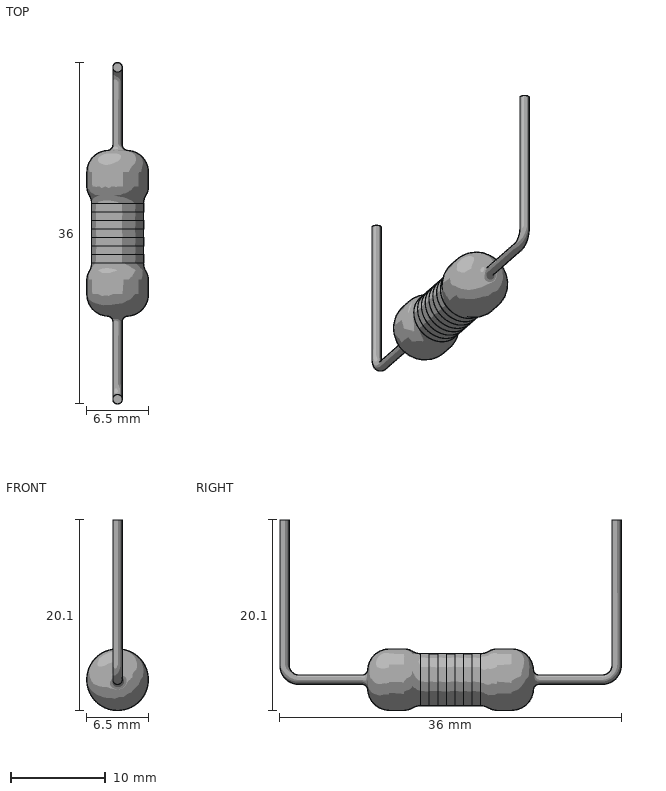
import cadquery as cq
import math

overall_length = 36.0
overall_height = 20.1
cap_diameter = 6.5
neck_diameter = 5.5
band_diameter = 5.55
lead_diameter = 1.0

bend_radius = 1.5
dome_radius = 2.3
flare_radius = 0.58
cap_inner = 4.9
cap_outer = 6.45
band_pitch = 0.9
band_count = 4

cap_r = cap_diameter / 2
neck_r = neck_diameter / 2
lead_r = lead_diameter / 2
neck_half = (2 * band_count - 1) * band_pitch / 2
lead_y = overall_length / 2 - lead_r
lead_top = overall_height - cap_r
diagonal = math.sqrt(0.5)


def end_cap():
    """Revolved +Y end of the body, from the end of the neck to the end of the flare."""
    shoulder_mid = ((cap_r + neck_r) / 2, (cap_inner + neck_half) / 2)
    shoulder_rise = cap_r - neck_r
    shoulder_run = cap_inner - neck_half
    shoulder_radius = (shoulder_rise**2 + shoulder_run**2) / (4 * shoulder_rise)
    flare_center_r = lead_r + flare_radius
    dome_center_r = cap_r - dome_radius
    dome_end_y = cap_outer + math.sqrt(dome_radius**2 - (flare_center_r - dome_center_r) ** 2)
    flare_end_y = dome_end_y + flare_radius
    return (
        cq.Workplane("XY")
        .moveTo(0, neck_half)
        .lineTo(neck_r, neck_half)
        .radiusArc(shoulder_mid, shoulder_radius)
        .tangentArcPoint((cap_r, cap_inner), relative=False)
        .lineTo(cap_r, cap_outer)
        .threePointArc(
            (dome_center_r + dome_radius * diagonal, cap_outer + dome_radius * diagonal),
            (flare_center_r, dome_end_y),
        )
        .threePointArc(
            (flare_center_r - flare_radius * diagonal, flare_end_y - flare_radius * diagonal),
            (lead_r, flare_end_y),
        )
        .lineTo(0, flare_end_y)
        .close()
        .revolve(360, (0, 0), (0, 1))
    )


def color_band(center_y):
    """Slightly raised ring, made as a disc through the neck."""
    return (
        cq.Workplane("XZ", origin=(0, center_y + band_pitch / 2, 0))
        .circle(band_diameter / 2)
        .extrude(band_pitch)
    )


def leads():
    """One round wire through the body, bent up at both ends."""
    bend_y = lead_y - bend_radius
    bend_mid_y = bend_y + bend_radius * diagonal
    bend_mid_z = bend_radius * (1 - diagonal)
    path = (
        cq.Workplane("YZ")
        .moveTo(-lead_y, lead_top)
        .lineTo(-lead_y, bend_radius)
        .threePointArc((-bend_mid_y, bend_mid_z), (-bend_y, 0))
        .lineTo(bend_y, 0)
        .threePointArc((bend_mid_y, bend_mid_z), (lead_y, bend_radius))
        .lineTo(lead_y, lead_top)
    )
    return cq.Workplane("XY", origin=(0, -lead_y, lead_top)).circle(lead_r).sweep(path)


neck = cq.Workplane("XZ").circle(neck_r).extrude(neck_half, both=True)
cap = end_cap()
body = neck.union(cap).union(cap.mirror("XZ"))
for index in range(band_count):
    body = body.union(color_band((2 * index - band_count + 1) * band_pitch))

result = body.union(leads())